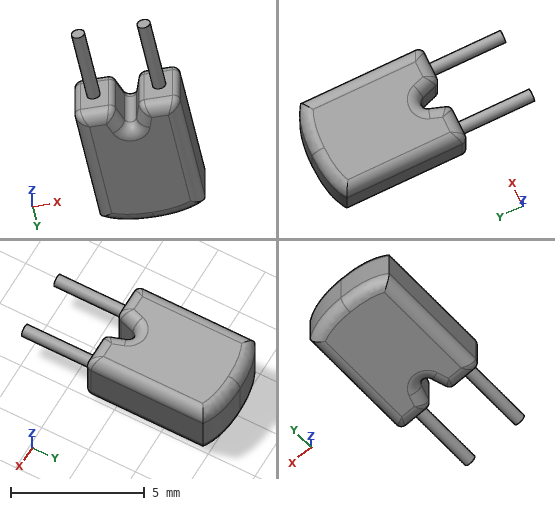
import cadquery as cq
import math

body_width = 4.0
body_length = 5.5
body_height = 2.5
crown_rise = 0.48
shoulder_slope = math.radians(34.5)
face_rounding = 0.5
corner_rounding = 0.25

notch_radius = 0.25
notch_center_y = 0.72
notch_half_mouth = 0.5

lead_radius = 0.251
lead_spacing = 2.5
lead_length = 3.0
lead_embed = 0.425

half_width = body_width / 2
half_height = body_height / 2
slope_x = math.cos(shoulder_slope)
slope_y = math.sin(shoulder_slope)
shoulder_y = body_length - crown_rise

mouth_to_center = math.hypot(notch_half_mouth, notch_center_y)
wall_angle = math.acos(notch_radius / mouth_to_center) - math.atan2(
    notch_center_y, notch_half_mouth
)
tangent_x = notch_radius * math.cos(wall_angle)
tangent_y = notch_center_y + notch_radius * math.sin(wall_angle)


def make_body():
    """Crowned block with a round-ended, flared notch in its base."""
    body = (
        cq.Workplane("XY")
        .workplane(offset=-half_height)
        .moveTo(-half_width, 0)
        .lineTo(-notch_half_mouth, 0)
        .lineTo(-tangent_x, tangent_y)
        .threePointArc((0, notch_center_y + notch_radius), (tangent_x, tangent_y))
        .lineTo(notch_half_mouth, 0)
        .lineTo(half_width, 0)
        .lineTo(half_width, shoulder_y)
        .spline(
            [(0, body_length)],
            tangents=[(-slope_x, slope_y), (-1, 0)],
            includeCurrent=True,
        )
        .spline(
            [(-half_width, shoulder_y)],
            tangents=[(-1, 0), (-slope_x, -slope_y)],
            includeCurrent=True,
        )
        .close()
        .extrude(body_height)
    )
    body = body.faces("|Z").edges().fillet(face_rounding)
    base_corners = cq.selectors.BoxSelector(
        (-body_width, -notch_radius, -half_height),
        (body_width, notch_radius, half_height),
    )
    return body.edges("|Z").edges(base_corners).fillet(corner_rounding)


def make_lead(x):
    """Round wire lead that starts inside the body."""
    return (
        cq.Workplane("XZ", origin=(x, lead_embed, 0))
        .circle(lead_radius)
        .extrude(lead_length + lead_embed)
    )


result = make_body()
for side in (-1, 1):
    result = result.union(make_lead(side * lead_spacing / 2))